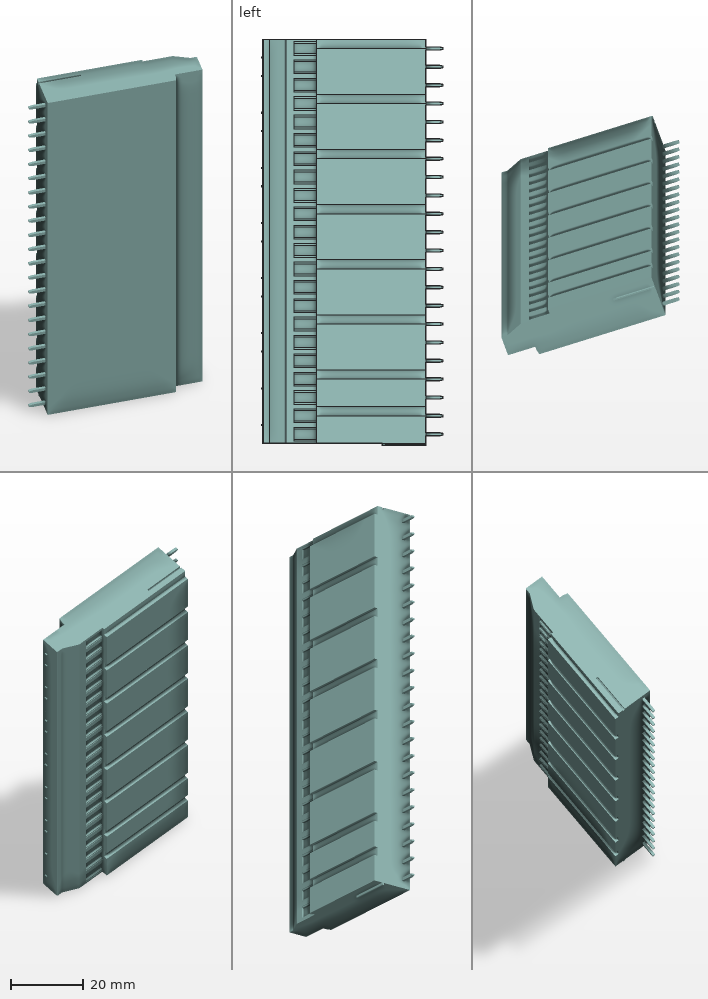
import cadquery as cq


POLE_PITCH = 5.08
POLES_PER_MODULE = [3, 3, 3, 3, 3, 3, 2, 2]
POLE_COUNT = sum(POLES_PER_MODULE)
BODY_HEIGHT = POLE_COUNT * POLE_PITCH

BODY_WIDTH = 12.2
OVERALL_LENGTH = 50.3
BODY_LENGTH = 45.15
RIDGE_HEIGHT = 1.1
RIDGE_LENGTH = 30.2
NECK_X = 1.8
TIP_X = 3.9
NECK_BEVEL_X = 0.1
NECK_BEVEL_Y = 0.3
SLOPE_START_Y = 38.7
SLOPE_END_Y = 43.3
TIP_BEVEL_X = 0.1
TIP_BEVEL_Y = 0.3
SHOULDER_X = 9.7
SHOULDER_Y = 37.2
SHOULDER_BEVEL_X = 1.5
SHOULDER_BEVEL_Y = 0.35

GROOVE_HEIGHT = POLE_PITCH / 2

WINDOW_END_Y = 36.4
WINDOW_HEIGHT = 3.8
WINDOW_FLOOR_HEIGHT = 2.85
WINDOW_RIM_DEPTH = 0.1
WINDOW_FLOOR_DEPTH = 0.7

PIN_X = 9.8
PIN_THICKNESS = 0.8
PIN_HEIGHT = 0.9
PIN_LENGTH = 4.8
PIN_TIP_LENGTH = 1.0
PIN_TIP_HEIGHT = 0.45

NUB_X = 8.3
NUB_WIDTH = 0.8
NUB_HEIGHT = 0.3
NUB_LENGTH = OVERALL_LENGTH - BODY_LENGTH - PIN_LENGTH

TONGUE_X = 3.0
TONGUE_WIDTH = 0.6
TONGUE_HEIGHT = 0.6
TONGUE_LENGTH = 12.1
TONGUE_BEVEL_X = 0.1
TONGUE_BEVEL_Z = 0.3
TONGUE_END_LENGTH = 1.0



def block(x_range, y_range, z_range):
    """Axis-aligned box between the given (low, high) limits."""
    sizes = [high - low for low, high in (x_range, y_range, z_range)]
    corner = (x_range[0], y_range[0], z_range[0])
    return cq.Workplane("XY").box(*sizes, centered=False).translate(corner)


def around(center, size):
    """(low, high) limits of a span of the given size about its center."""
    return (center - size / 2, center + size / 2)


def pole_center(pole):
    """Height of the middle of a pole; pole 0 is the top one."""
    return BODY_HEIGHT - (pole + 0.5) * POLE_PITCH


def make_body():
    outline = [
        (0, 0),
        (BODY_WIDTH, 0),
        (BODY_WIDTH, SHOULDER_Y - SHOULDER_BEVEL_Y),
        (BODY_WIDTH - SHOULDER_BEVEL_X, SHOULDER_Y),
        (SHOULDER_X, SHOULDER_Y),
        (SHOULDER_X, BODY_LENGTH),
        (TIP_X + TIP_BEVEL_X, BODY_LENGTH),
        (TIP_X, BODY_LENGTH - TIP_BEVEL_Y),
        (TIP_X, SLOPE_END_Y),
        (NECK_X + NECK_BEVEL_X, SLOPE_START_Y + NECK_BEVEL_Y),
        (NECK_X, SLOPE_START_Y),
        (NECK_X, RIDGE_LENGTH),
        (0, RIDGE_LENGTH),
    ]
    return cq.Workplane("XY").polyline(outline).close().extrude(BODY_HEIGHT)


def make_groove(module_top):
    return block((0, RIDGE_HEIGHT), (0, RIDGE_LENGTH), (module_top - GROOVE_HEIGHT, module_top))


def make_window(pole):
    y_range = (RIDGE_LENGTH, WINDOW_END_Y)
    rim_x = NECK_X + WINDOW_RIM_DEPTH
    floor_x = NECK_X + WINDOW_FLOOR_DEPTH
    rim = block((NECK_X, rim_x), y_range, around(pole_center(pole), WINDOW_HEIGHT))
    floor = block((NECK_X, floor_x), y_range, around(pole_center(pole), WINDOW_FLOOR_HEIGHT))
    return rim.union(floor)


def make_pin(pole):
    shank_end = PIN_TIP_LENGTH - PIN_LENGTH
    half_height = PIN_HEIGHT / 2
    half_tip = PIN_TIP_HEIGHT / 2
    side = [
        (0, -half_height),
        (shank_end, -half_height),
        (-PIN_LENGTH, -half_tip),
        (-PIN_LENGTH, half_tip),
        (shank_end, half_height),
        (0, half_height),
    ]
    pin = cq.Workplane("YZ").polyline(side).close().extrude(PIN_THICKNESS / 2, both=True)
    return pin.translate((PIN_X, 0, pole_center(pole)))


def make_nub(z):
    y_range = (BODY_LENGTH, BODY_LENGTH + NUB_LENGTH)
    return block(around(NUB_X, NUB_WIDTH), y_range, around(z, NUB_HEIGHT))


def make_slot():
    z_range = (BODY_HEIGHT - TONGUE_HEIGHT, BODY_HEIGHT)
    return block(around(TONGUE_X, TONGUE_WIDTH), (0, TONGUE_LENGTH), z_range)


def make_tongue():
    half_width = TONGUE_WIDTH / 2
    half_bottom = half_width - TONGUE_BEVEL_X
    bevel_z = TONGUE_BEVEL_Z - TONGUE_HEIGHT
    section = [
        (-half_width, 0),
        (-half_width, bevel_z),
        (-half_bottom, -TONGUE_HEIGHT),
        (half_bottom, -TONGUE_HEIGHT),
        (half_width, bevel_z),
        (half_width, 0),
    ]
    bevelled_length = TONGUE_LENGTH - TONGUE_END_LENGTH
    bevelled = cq.Workplane("XZ").polyline(section).close().extrude(-bevelled_length)
    bevelled = bevelled.translate((TONGUE_X, 0, 0))
    narrow_end = block(
        around(TONGUE_X, 2 * half_bottom),
        (bevelled_length, TONGUE_LENGTH),
        (-TONGUE_HEIGHT, 0),
    )
    return bevelled.union(narrow_end)


result = make_body().cut(make_slot()).union(make_tongue())

for pole in range(POLE_COUNT):
    result = result.cut(make_window(pole)).union(make_pin(pole))

module_top = BODY_HEIGHT
for poles in POLES_PER_MODULE:
    result = result.cut(make_groove(module_top))
    for joint in range(1, poles):
        result = result.union(make_nub(module_top - joint * POLE_PITCH))
    module_top -= poles * POLE_PITCH